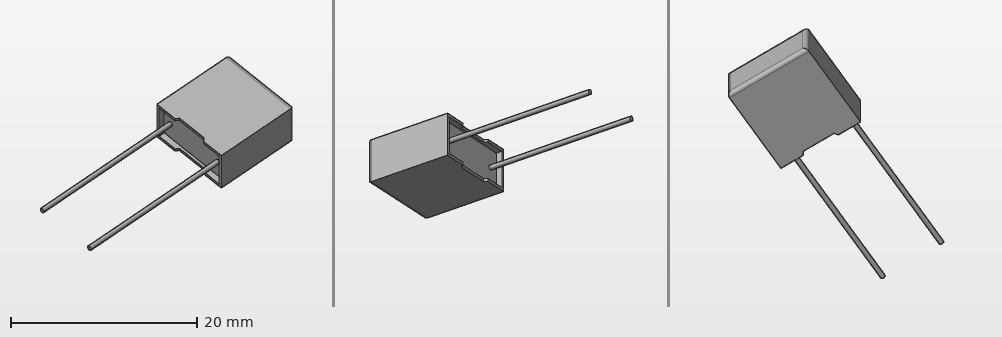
import cadquery as cq

total_length = 28.6
case_width = 10.2
case_height = 5.12
case_length = 10.6

wall = 0.35
back_round = 0.5
notch_depth = 0.4
notch_mouth_width = 4.5
notch_floor_width = 3.92

resin_recess = 0.75
lead_diameter = 0.57
lead_pitch = 7.5

lead_tip_y = case_length - total_length
resin_width = case_width - 2 * wall
resin_height = case_height - 2 * wall
resin_length = case_length - wall - resin_recess


def block(width, length, height, front_y):
    """Block centred on X and Z that starts at front_y and runs toward +Y."""
    return cq.Workplane("XY").box(width, length, height, centered=(True, False, True)).translate((0, front_y, 0))


def make_lead(x):
    """Round wire that ends flush with the resin surface."""
    wire_length = resin_recess - lead_tip_y
    wire = cq.Workplane("XZ").circle(lead_diameter / 2).extrude(-wire_length)
    return wire.translate((x, lead_tip_y, 0))


def make_resin():
    """Potting block that fills the case behind the recess."""
    return block(resin_width, resin_length, resin_height, resin_recess)


def make_notch():
    """Tapered notch across the mouth, cutting both broad walls."""
    outline = [
        (-notch_mouth_width / 2, 0),
        (-notch_floor_width / 2, notch_depth),
        (notch_floor_width / 2, notch_depth),
        (notch_mouth_width / 2, 0),
    ]
    return cq.Workplane("XY").polyline(outline).close().extrude(case_height / 2, both=True)


def make_case():
    """Box open toward -Y, rounded around its closed back face."""
    shell = block(case_width, case_length, case_height, 0).faces(">Y").edges().fillet(back_round)
    cavity = block(resin_width, case_length - wall, resin_height, 0)
    return shell.cut(cavity).cut(make_notch())


case = make_case()
resin = make_resin()
leads = [make_lead(side * lead_pitch / 2) for side in (-1, 1)]

result = cq.Compound.makeCompound([case.val(), resin.val(), *[lead.val() for lead in leads]])